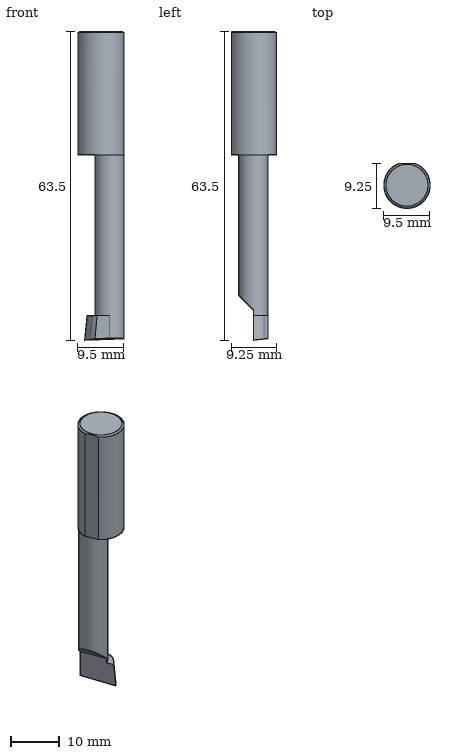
import cadquery as cq
import math

total_length = 63.5
shank_diameter = 9.5
shank_length = 25.4
shank_flat_depth = 0.25
chamfer_width = 0.45
chamfer_height = 0.25

neck_diameter = 6.05
ramp_bottom = 6.15
ramp_angle = 45.0

head_height = 5.1
tip_x = -3.35
side_clearance_angle = 5.5
relief_bulge = 0.095
end_angle_x = 2.0
end_angle_y = 5.0

shank_radius = shank_diameter / 2
neck_radius = neck_diameter / 2
shank_bottom = total_length - shank_length
neck_x = shank_radius - neck_radius

relief_knee = (-2.2, -2.15)
relief_end_x = -1.3


def make_shank():
    """Round shank with a chamfered end and a clamping flat on +Y."""
    profile = (
        cq.Workplane("XZ")
        .moveTo(0, shank_bottom)
        .lineTo(shank_radius, shank_bottom)
        .lineTo(shank_radius, total_length - chamfer_height)
        .lineTo(shank_radius - chamfer_width, total_length)
        .lineTo(0, total_length)
        .close()
    )
    shank = profile.revolve(360, (0, 0, 0), (0, 1, 0))
    flat_cutter = (
        cq.Workplane("XY", origin=(0, shank_radius - shank_flat_depth, shank_bottom))
        .center(0, shank_flat_depth / 2)
        .rect(shank_diameter, shank_flat_depth)
        .extrude(shank_length)
    )
    return shank.cut(flat_cutter)


def make_neck():
    """Offset round neck, halved at its lower end below a sloping run-out."""
    neck = cq.Workplane("XY").center(neck_x, 0).circle(neck_radius).extrude(shank_bottom)
    run_out = neck_diameter
    ramp_top = ramp_bottom + run_out * math.tan(math.radians(ramp_angle))
    half_cutter = (
        cq.Workplane("YZ")
        .polyline([(0, 0), (run_out, 0), (run_out, ramp_top), (0, ramp_bottom)])
        .close()
        .extrude(shank_diameter, both=True)
    )
    return neck.cut(half_cutter)


def head_outline(workplane, shift):
    """Head section with its cutting side moved towards +X by shift."""
    tip = (tip_x + shift, 0)
    knee = (relief_knee[0] + shift, relief_knee[1])
    chord = math.dist(tip, knee)
    bulge_point = (
        (tip[0] + knee[0]) / 2 + relief_bulge * (knee[1] - tip[1]) / chord,
        (tip[1] + knee[1]) / 2 - relief_bulge * (knee[0] - tip[0]) / chord,
    )
    return (
        workplane.moveTo(*tip)
        .threePointArc(bulge_point, knee)
        .lineTo(relief_end_x + shift, -neck_radius)
        .lineTo(neck_x, -neck_radius)
        .lineTo(neck_x, 0)
        .close()
    )


def make_head():
    """Cutting head whose side leans back from the tip."""
    lean = head_height * math.tan(math.radians(side_clearance_angle))
    bottom = head_outline(cq.Workplane("XY"), 0)
    return head_outline(bottom.workplane(offset=head_height), lean).loft(ruled=True)


def make_end_cutter():
    """Block under the end face, which rises from the tip towards +X and -Y."""
    slope_x = math.tan(math.radians(end_angle_x))
    slope_y = math.tan(math.radians(end_angle_y))
    end_plane = cq.Plane(origin=(tip_x, 0, 0), xDir=(1, 0, slope_x), normal=(-slope_x, slope_y, 1))
    block_side = 4 * shank_diameter
    return cq.Workplane(end_plane).rect(block_side, block_side).extrude(-shank_diameter)


result = make_shank().union(make_neck()).union(make_head()).cut(make_end_cutter())